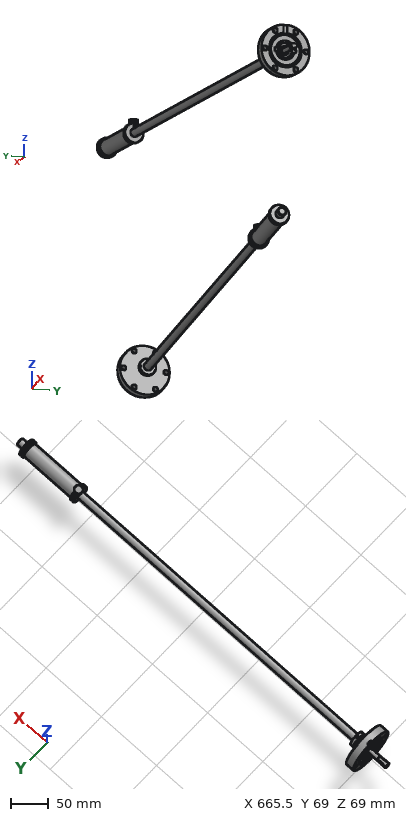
import cadquery as cq

total_length = 665.5
flange_start = 30.0
flange_thickness = 12.5
stop_collar_start = 51.0
stop_collar_width = 5.0
handle_start = 556.0
handle_end = 654.0
handle_collar_width = 6.5

rod_diameter = 7.0
rod_tip_diameter = 8.0
shaft_diameter = 11.0
flange_diameter = 69.0
stop_collar_diameter = 22.5
handle_diameter = 22.5
handle_collar_diameter = 26.5
end_stub_diameter = 11.0
end_stub_chamfer = 0.5

rod_tip_length = 6.5
flat_length = 15.0
flat_height = 2.5

collar_groove_width = 2.0
collar_groove_depth = 1.0
set_screw_diameter = 2.5
set_screw_depth = 2.5

bolt_count = 6
bolt_circle_diameter = 59.0
bolt_hole_diameter = 6.5
recess_diameter = 46.5
recess_depth = 2.5
ridge_base_diameter = 46.0
ridge_tip_diameter = 41.0
ridge_height = 2.0
leak_groove_width = 6.0
leak_groove_depth = 2.5
bore_steps = ((26.0, 1.0), (20.0, 2.5), (12.0, 4.0))
pin_hole_spacing = 25.0
pin_hole_diameter = 6.0
pin_hole_depth = 2.0

screw_diameter = 7.0
screw_head_diameter = 12.0
screw_head_thickness = 3.0
screw_top = 18.0


def cylinder(start, length, diameter):
    """Round bar along X, centred on the shaft axis."""
    return cq.Workplane("YZ", origin=(start, 0, 0)).circle(diameter / 2).extrude(length)


def make_rod():
    """Thin rod through the flange, with a wider tip and a flat on top."""
    rod = cylinder(0, flange_start + flange_thickness, rod_diameter)
    rod = rod.union(cylinder(0, rod_tip_length, rod_tip_diameter))
    above_flat = cq.Workplane("XY", origin=(0, 0, flat_height)).box(
        flat_length, rod_tip_diameter, rod_tip_diameter, centered=(False, True, False)
    )
    return rod.cut(above_flat)


def make_flange():
    """Bolted flange with recess, sealing ridge, stepped bore and leak-check groove."""
    recess_floor = flange_start + recess_depth
    inner_face = recess_floor - ridge_height

    flange = cylinder(flange_start, flange_thickness, flange_diameter)
    flange = flange.cut(cylinder(flange_start, recess_depth, recess_diameter))
    ridge = (
        cq.Workplane("XY")
        .moveTo(recess_floor, 0)
        .lineTo(recess_floor, ridge_base_diameter / 2)
        .lineTo(inner_face, ridge_tip_diameter / 2)
        .lineTo(inner_face, 0)
        .close()
        .revolve(360, (0, 0, 0), (1, 0, 0))
    )
    flange = flange.union(ridge)

    for diameter, depth in bore_steps:
        flange = flange.cut(cylinder(inner_face, depth, diameter))

    pin_holes = (
        cq.Workplane("YZ", origin=(inner_face, 0, 0))
        .rarray(pin_hole_spacing, 6.5, 2, 1)
        .circle(pin_hole_diameter / 2)
        .extrude(pin_hole_depth)
    )
    bolt_holes = (
        cq.Workplane("YZ", origin=(flange_start, 0, 0))
        .polarArray(bolt_circle_diameter / 2, 0, 360, bolt_count)
        .circle(bolt_hole_diameter / 2)
        .extrude(flange_thickness)
    )
    leak_groove = cq.Workplane("XY", origin=(flange_start, 0, ridge_base_diameter / 2)).box(
        leak_groove_depth, leak_groove_width, flange_diameter, centered=(False, True, False)
    )
    return flange.cut(pin_holes).cut(bolt_holes).cut(leak_groove)


def make_handle_collar(start):
    """Collar with a shallow groove around the middle of its rim."""
    collar = cylinder(start, handle_collar_width, handle_collar_diameter)
    groove_start = start + (handle_collar_width - collar_groove_width) / 2
    groove_floor_diameter = handle_collar_diameter - 2 * collar_groove_depth
    groove = cylinder(groove_start, collar_groove_width, handle_collar_diameter).cut(
        cylinder(groove_start, collar_groove_width, groove_floor_diameter)
    )
    return collar.cut(groove)


def make_stop_collar():
    """Plain collar with set-screw holes on its -Y and +Z sides."""
    collar = cylinder(stop_collar_start, stop_collar_width, stop_collar_diameter)
    hole_x = stop_collar_start + stop_collar_width / 2
    hole_bottom = stop_collar_diameter / 2 - set_screw_depth
    for plane in ("XY", "XZ"):
        hole = (
            cq.Workplane(plane)
            .workplane(offset=hole_bottom)
            .center(hole_x, 0)
            .circle(set_screw_diameter / 2)
            .extrude(stop_collar_diameter)
        )
        collar = collar.cut(hole)
    return collar


def make_screw():
    """Thumbscrew standing up from the front handle collar."""
    screw_x = handle_start + handle_collar_width / 2
    shank = cq.Workplane("XY", origin=(screw_x, 0, 0)).circle(screw_diameter / 2).extrude(screw_top)
    head = (
        cq.Workplane("XY", origin=(screw_x, 0, screw_top - screw_head_thickness))
        .circle(screw_head_diameter / 2)
        .extrude(screw_head_thickness)
    )
    return shank.union(head)


def make_handle():
    """Handle tube with a collar at each end, the thumbscrew and the end stub."""
    handle = cylinder(handle_start, handle_end - handle_start, handle_diameter)
    for collar_start in (handle_start, handle_end - handle_collar_width):
        handle = handle.union(make_handle_collar(collar_start))
    stub = cylinder(handle_end, total_length - handle_end, end_stub_diameter)
    stub = stub.faces(">X").chamfer(end_stub_chamfer)
    return handle.union(stub).union(make_screw())


flange_end = flange_start + flange_thickness
shaft = cylinder(flange_end, handle_start - flange_end, shaft_diameter)

result = make_rod().union(make_flange()).union(shaft).union(make_stop_collar()).union(make_handle())